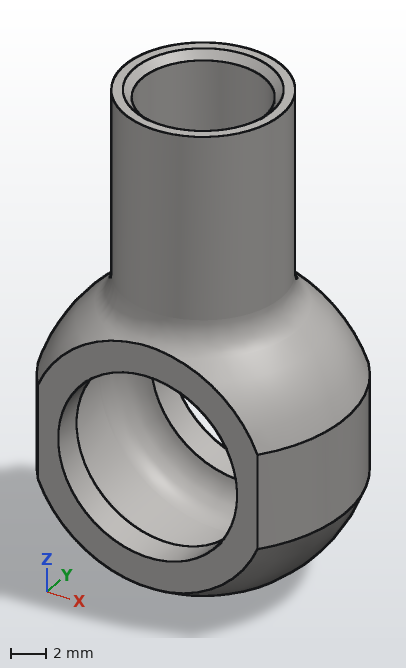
import cadquery as cq
import math

ball_radius = 20.0 / 2
waist_diameter = 19.0
head_width = 12.0
ball_base_z = -waist_diameter / 2

cross_bore_diameter = 12.0
groove_radius = 8.0
groove_floor_width = 3.15
groove_corner_radius = 2.5

total_height = 31.5
neck_top_z = ball_base_z + total_height
neck_radius = 10.5 / 2
neck_fillet_radius = 2.5

neck_bore_radius = 8.15 / 2
neck_chamfer = 0.5
passage_radius = 6.0 / 2
cone_angle = 118.0

fillet_center_x = neck_radius + neck_fillet_radius
fillet_center_distance = ball_radius + neck_fillet_radius
neck_foot_z = math.sqrt(fillet_center_distance**2 - fillet_center_x**2)
ball_fillet_ratio = ball_radius / fillet_center_distance
ball_fillet_x = fillet_center_x * ball_fillet_ratio
ball_fillet_z = neck_foot_z * ball_fillet_ratio
fillet_middle_angle = math.pi + math.atan2(neck_foot_z, fillet_center_x) / 2


def revolve_profile(profile):
    """Full turn of a half section about the local Y axis of its sketch plane."""
    return profile.revolve(360, (0, 0), (0, 1))


def make_head():
    """Ball with a flat base, a straight waist and two flat sides."""
    box_height = ball_radius - ball_base_z
    block = cq.Workplane("XY", origin=(0, 0, ball_base_z)).rect(waist_diameter, head_width)
    block = block.extrude(box_height)
    waist = cq.Workplane("XY", origin=(0, 0, ball_base_z)).circle(waist_diameter / 2).extrude(box_height)
    return cq.Workplane("XY").sphere(ball_radius).intersect(waist).intersect(block)


def make_neck():
    """Round neck that flares into the ball, trimmed to the width of the head."""
    fillet_middle = (
        fillet_center_x + neck_fillet_radius * math.cos(fillet_middle_angle),
        neck_foot_z + neck_fillet_radius * math.sin(fillet_middle_angle),
    )
    profile = (
        cq.Workplane("XZ")
        .lineTo(ball_fillet_x, ball_fillet_z)
        .threePointArc(fillet_middle, (neck_radius, neck_foot_z))
        .lineTo(neck_radius, neck_top_z)
        .lineTo(0, neck_top_z)
        .close()
    )
    neck = revolve_profile(profile)
    trim = cq.Workplane("XY").rect(waist_diameter, head_width).extrude(neck_top_z)
    return neck.intersect(trim)


def make_cross_bore():
    """Through bore along Y, widened inside by a groove with rounded corners."""
    bore_radius = cross_bore_diameter / 2
    floor_y = groove_floor_width / 2
    corner_center_x = groove_radius - groove_corner_radius
    lip_angle = math.acos((bore_radius - corner_center_x) / groove_corner_radius)
    lip_y = floor_y + groove_corner_radius * math.sin(lip_angle)
    middle_x = corner_center_x + groove_corner_radius * math.cos(lip_angle / 2)
    middle_y = floor_y + groove_corner_radius * math.sin(lip_angle / 2)
    face_y = head_width / 2
    profile = (
        cq.Workplane("XY")
        .moveTo(0, -face_y)
        .lineTo(bore_radius, -face_y)
        .lineTo(bore_radius, -lip_y)
        .threePointArc((middle_x, -middle_y), (groove_radius, -floor_y))
        .lineTo(groove_radius, floor_y)
        .threePointArc((middle_x, middle_y), (bore_radius, lip_y))
        .lineTo(bore_radius, face_y)
        .lineTo(0, face_y)
        .close()
    )
    return revolve_profile(profile)


def make_neck_passage():
    """Chamfered neck bore that narrows through a cone to the hole into the groove."""
    cone_depth = (neck_bore_radius - passage_radius) / math.tan(math.radians(cone_angle / 2))
    profile = (
        cq.Workplane("XZ")
        .lineTo(passage_radius, 0)
        .lineTo(passage_radius, neck_foot_z - cone_depth)
        .lineTo(neck_bore_radius, neck_foot_z)
        .lineTo(neck_bore_radius, neck_top_z - neck_chamfer)
        .lineTo(neck_bore_radius + neck_chamfer, neck_top_z)
        .lineTo(0, neck_top_z)
        .close()
    )
    return revolve_profile(profile)


result = make_head().union(make_neck()).cut(make_cross_bore()).cut(make_neck_passage())